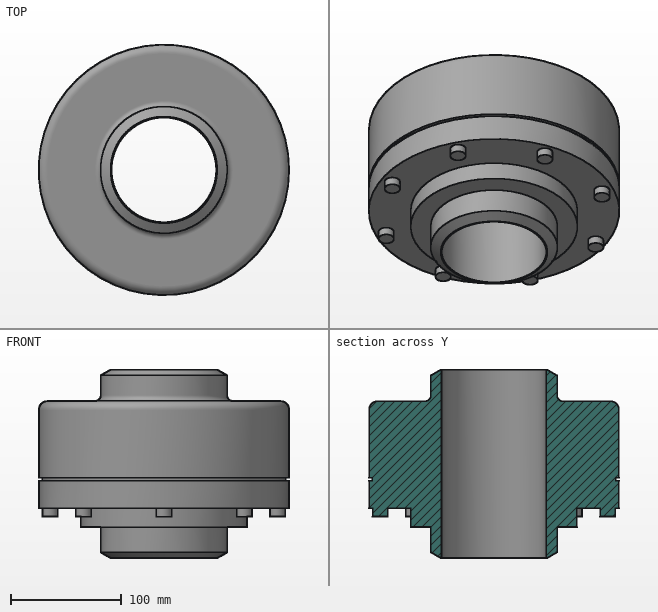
import cadquery as cq

total_height = 170.0
hub_bottom = 28.0
cover_bottom = 45.0
cover_thickness = 25.0
gasket_thickness = 2.5
housing_top = 141.7

pipe_diameter = 114.3
bore_diameter = 94.3
hub_diameter = 150.3
gasket_diameter = 220.0
housing_diameter = 226.0

bevel_height = 5.2
bevel_width = 9.0
housing_edge_radius = 8.0
neck_fillet_radius = 5.0

bolt_count = 8
bolt_diameter = 14.0
bolt_circle_diameter = 205.0
bolt_projection = 7.5
bolt_embedment = 10.0

cover_top = cover_bottom + cover_thickness
housing_bottom = cover_top + gasket_thickness


def disc(diameter, bottom, top):
    """Solid cylinder on the Z axis between two heights."""
    return cq.Workplane("XY").workplane(offset=bottom).circle(diameter / 2).extrude(top - bottom)


def make_pipe():
    """Through pipe, still solid, with a weld bevel at both ends."""
    radius = pipe_diameter / 2
    end_radius = radius - bevel_width
    return (
        cq.Workplane("XZ")
        .moveTo(0, 0)
        .lineTo(end_radius, 0)
        .lineTo(radius, bevel_height)
        .lineTo(radius, total_height - bevel_height)
        .lineTo(end_radius, total_height)
        .lineTo(0, total_height)
        .close()
        .revolve()
    )


def make_housing():
    """Upper housing with a rounded top edge."""
    return disc(housing_diameter, housing_bottom, housing_top).faces(">Z").edges().fillet(housing_edge_radius)


def make_neck_fillet():
    """Concave ring blending the pipe into the top of the housing."""
    radius = pipe_diameter / 2
    outer_radius = radius + neck_fillet_radius
    fillet_top = housing_top + neck_fillet_radius
    return (
        cq.Workplane("XZ")
        .moveTo(0, housing_top)
        .lineTo(outer_radius, housing_top)
        .radiusArc((radius, fillet_top), neck_fillet_radius)
        .lineTo(0, fillet_top)
        .close()
        .revolve()
    )


def make_bolts():
    """Bolts seated in the cover, with their ends standing out below it."""
    return (
        cq.Workplane("XY")
        .workplane(offset=cover_bottom - bolt_projection)
        .polarArray(bolt_circle_diameter / 2, 0, 360, bolt_count)
        .circle(bolt_diameter / 2)
        .extrude(bolt_projection + bolt_embedment)
    )


hub = disc(hub_diameter, hub_bottom, cover_bottom)
cover = disc(housing_diameter, cover_bottom, cover_top)
gasket = disc(gasket_diameter, cover_top, housing_bottom)
bore = disc(bore_diameter, 0, total_height)

body = make_housing().union(gasket).union(cover).union(hub)
body = body.union(make_pipe()).union(make_neck_fillet()).union(make_bolts())
result = body.cut(bore)